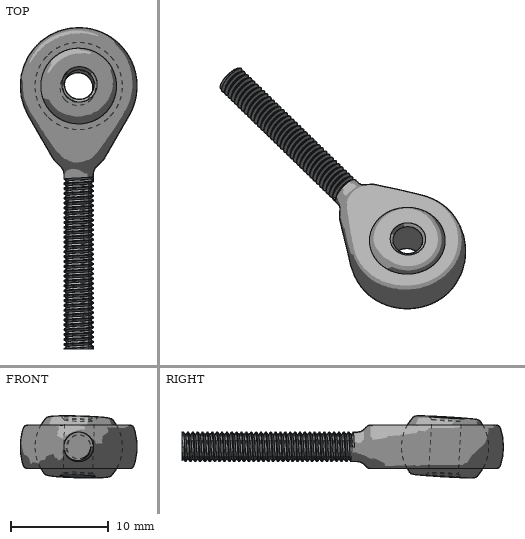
import cadquery as cq
import math

shank_end = 27.0
thread_top = 9.0
shank_radius = 1.52
thread_turns = 36
thread_depth = 0.3
groove_width = 0.43
tip_allowance = 1.65
pitch = (shank_end - thread_top) / thread_turns
stock_end = shank_end + tip_allowance

eye_radius = 6.0
eye_thickness = 4.5
eye_edge_fillet = 0.5
taper_angle = math.radians(30)

neck_angle = math.radians(45)
neck_fillet = 1.0
shoulder_fillet = 1.0

ball_radius = 4.5
ball_width = 6.0
ball_edge_fillet = 0.5
bore_radius = 1.52
bore_chamfer = 0.3
tilt_about_x = -3.4
tilt_about_y = 1.6

tangent_radius = eye_radius * math.cos(taper_angle)
tangent_distance = eye_radius * math.sin(taper_angle)
neck_root = thread_top - neck_fillet * math.tan(neck_angle / 2)
taper_slope = math.tan(taper_angle)
shoulder_distance = (
    shank_radius + neck_root - tangent_radius - taper_slope * tangent_distance
) / (1 - taper_slope)
shoulder_radius = shank_radius + neck_root - shoulder_distance


def flat_slab(thickness):
    """Large slab centred on Z = 0, used to flatten a body above and below."""
    size = 4 * shank_end
    return cq.Workplane("XY").box(size, size, thickness)


def make_blank():
    """Eye, taper, neck and plain over-long shank turned about the Y axis."""
    arc_middle = (eye_radius * math.cos(taper_angle / 2), eye_radius * math.sin(taper_angle / 2))
    return (
        cq.Workplane("XY")
        .moveTo(0, eye_radius)
        .threePointArc(arc_middle, (tangent_radius, -tangent_distance))
        .lineTo(shoulder_radius, -shoulder_distance)
        .lineTo(shank_radius, -neck_root)
        .lineTo(shank_radius, -stock_end)
        .lineTo(0, -stock_end)
        .close()
        .revolve(360, (0, 0, 0), (0, 1, 0))
    )


def ring_edge(distance):
    """Selector box around the turned edge at a distance along the shank."""
    reach = eye_radius
    margin = 0.03
    return cq.selectors.BoxSelector(
        (-reach, -distance - margin, -reach), (reach, -distance + margin, reach), boundingbox=True
    )


def make_thread_groove():
    """V groove winding right-handed from one pitch below the neck to the tip."""
    overlap = 0.05
    outer_radius = shank_radius + overlap
    root_radius = shank_radius - thread_depth
    half_width = groove_width / 2 * (thread_depth + overlap) / thread_depth
    helix = cq.Wire.makeHelix(pitch, (thread_turns - 1) * pitch, shank_radius)
    groove = (
        cq.Workplane("XZ")
        .polyline([(root_radius, 0), (outer_radius, half_width), (outer_radius, -half_width)])
        .close()
        .sweep(cq.Workplane(helix), isFrenet=True)
    )
    return groove.rotate((0, 0, 0), (1, 0, 0), 90).translate((0, -thread_top - pitch, 0))


def make_rod_end():
    body = make_blank()
    body = body.edges(ring_edge(shoulder_distance)).fillet(shoulder_fillet)
    body = body.edges(ring_edge(neck_root)).fillet(neck_fillet)
    body = body.intersect(flat_slab(eye_thickness))
    body = body.faces("<Z or >Z").edges().fillet(eye_edge_fillet)
    body = body.cut(cq.Workplane("XY").sphere(ball_radius))
    body = body.cut(make_thread_groove())
    tip_stock = (
        cq.Workplane("XZ").workplane(offset=shank_end).circle(2 * shank_radius).extrude(2 * tip_allowance)
    )
    return body.cut(tip_stock)


def make_ball():
    ball = cq.Workplane("XY").sphere(ball_radius).intersect(flat_slab(ball_width))
    ball = ball.faces("<Z or >Z").edges().fillet(ball_edge_fillet)
    ball = ball.cut(cq.Workplane("XY").circle(bore_radius).extrude(ball_width, both=True))
    bore_rims = cq.selectors.RadiusNthSelector(0)
    ball = ball.faces("<Z or >Z").edges(bore_rims).chamfer(bore_chamfer)
    ball = ball.rotate((0, 0, 0), (1, 0, 0), tilt_about_x)
    return ball.rotate((0, 0, 0), (0, 1, 0), tilt_about_y)


rod_end = make_rod_end()
ball = make_ball()

result = cq.Compound.makeCompound([rod_end.val(), ball.val()])